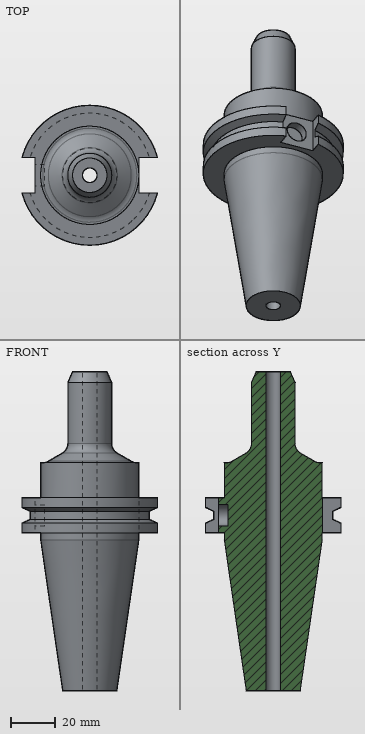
import cadquery as cq
import math

total_height = 144.5
bore_diameter = 6.5

taper_rate = 7 / 24
gauge_height = 68.3
gauge_radius = 22.2
small_end_radius = gauge_radius - gauge_height * taper_rate / 2

flange_diameter = 63.4
flange_radius = flange_diameter / 2
flange_bottom = 71.5
flange_height = 15.9
flange_top = flange_bottom + flange_height
flange_middle = flange_bottom + flange_height / 2
groove_floor_radius = 28.2
groove_mouth_width = 7.1
groove_floor_width = 3.6

collar_radius = 22.2
collar_top = 103.3

shank_radius = 10.0
tip_radius = 7.8
tip_chamfer_height = 4.9
blend_radius = 5.0
cone_slope = math.radians(30)
cone_foot_radius = 20.0

slot_width = 16.0
left_slot_floor = 24.8
right_slot_floor = 22.4
drive_hole_diameter = 9.5
drive_hole_depth = 4.3


def arc_point(center_r, center_z, angle):
    """Point of a blend arc, angle measured from the +R direction."""
    return (center_r + blend_radius * math.cos(angle), center_z + blend_radius * math.sin(angle))


def make_body():
    foot_center_r = cone_foot_radius + blend_radius * math.tan(cone_slope / 2)
    foot_center_z = collar_top + blend_radius
    foot_start = -math.pi / 2
    foot_end = foot_start - cone_slope

    neck_height = collar_top + (cone_foot_radius - shank_radius) * math.tan(cone_slope)
    neck_center_r = shank_radius + blend_radius
    neck_center_z = neck_height + blend_radius * math.tan((math.pi / 2 - cone_slope) / 2)
    neck_start = foot_end
    neck_end = -math.pi

    profile = (
        cq.Workplane("XZ")
        .polyline([
            (0, 0),
            (small_end_radius, 0),
            (gauge_radius, gauge_height),
            (gauge_radius, flange_bottom),
            (flange_radius, flange_bottom),
            (flange_radius, flange_middle - groove_mouth_width / 2),
            (groove_floor_radius, flange_middle - groove_floor_width / 2),
            (groove_floor_radius, flange_middle + groove_floor_width / 2),
            (flange_radius, flange_middle + groove_mouth_width / 2),
            (flange_radius, flange_top),
            (collar_radius, flange_top),
            (collar_radius, collar_top),
            (foot_center_r, collar_top),
        ])
        .threePointArc(
            arc_point(foot_center_r, foot_center_z, (foot_start + foot_end) / 2),
            arc_point(foot_center_r, foot_center_z, foot_end),
        )
        .lineTo(*arc_point(neck_center_r, neck_center_z, neck_start))
        .threePointArc(
            arc_point(neck_center_r, neck_center_z, (neck_start + neck_end) / 2),
            arc_point(neck_center_r, neck_center_z, neck_end),
        )
        .lineTo(shank_radius, total_height - tip_chamfer_height)
        .lineTo(tip_radius, total_height)
        .lineTo(0, total_height)
        .close()
    )
    return profile.revolve(360, (0, 0), (0, 1))


def make_drive_slot(side, floor):
    """Slot through the flange; side is -1 for -X and +1 for +X."""
    return (
        cq.Workplane("XY", origin=(side * (floor + flange_radius / 2), 0, flange_middle))
        .box(flange_radius, slot_width, flange_height)
    )


def make_drive_hole():
    return (
        cq.Workplane("YZ", origin=(-left_slot_floor, 0, flange_middle))
        .circle(drive_hole_diameter / 2)
        .extrude(drive_hole_depth)
    )


def make_bore():
    return cq.Workplane("XY").circle(bore_diameter / 2).extrude(total_height)


result = (
    make_body()
    .cut(make_drive_slot(-1, left_slot_floor))
    .cut(make_drive_slot(1, right_slot_floor))
    .cut(make_drive_hole())
    .cut(make_bore())
)